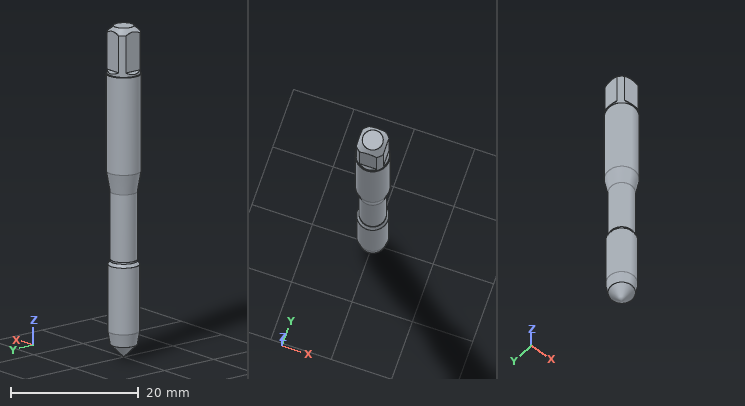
import cadquery as cq

overall_length = 54.0
taper_top_z = 4.3
working_top_z = 15.15
working_bevel_top_z = 15.7
joint_z = 16.0
neck_top_z = 27.0
cone_top_z = 30.35
shoulder_z = 46.15
flat_bottom_z = 46.95

shank_diameter = 5.5
drive_diameter = 5.3
neck_diameter = 4.3
working_diameter = 5.1
point_diameter = 4.3
top_face_diameter = 3.3

across_flats = 4.5

shank_radius = shank_diameter / 2
drive_radius = drive_diameter / 2
neck_radius = neck_diameter / 2
working_radius = working_diameter / 2
point_radius = point_diameter / 2
top_face_radius = top_face_diameter / 2
point_height = point_radius
shoulder_top_z = shoulder_z + shank_radius - drive_radius
top_bevel_z = overall_length - (drive_radius - top_face_radius)

flat_offset = across_flats / 2
runout_bottom_z = flat_bottom_z - (shank_radius - flat_offset)
flat_count = 4


def revolve_profile(points):
    """Turn a closed (radius, Z) outline around the Z axis."""
    return cq.Workplane("XZ").polyline(points).close().revolve(360, (0, 0), (0, 1))


def make_flat_cutter():
    """Wedge-bottomed block that leaves a flat with a sloped run-out on the +X side of the drive."""
    return (
        cq.Workplane("XZ")
        .moveTo(flat_offset, overall_length)
        .lineTo(flat_offset, flat_bottom_z)
        .lineTo(shank_radius, runout_bottom_z)
        .lineTo(shank_radius, overall_length)
        .close()
        .extrude(shank_radius, both=True)
    )


def make_shank():
    """Neck, transition cone, shank and square drive in one body."""
    shank = revolve_profile([
        (0, joint_z),
        (neck_radius, joint_z),
        (neck_radius, neck_top_z),
        (shank_radius, cone_top_z),
        (shank_radius, shoulder_z),
        (drive_radius, shoulder_top_z),
        (drive_radius, top_bevel_z),
        (top_face_radius, overall_length),
        (0, overall_length),
    ])
    flat_cutter = make_flat_cutter()
    for index in range(flat_count):
        angle = index * 360 / flat_count
        shank = shank.cut(flat_cutter.rotate((0, 0, 0), (0, 0, 1), angle))
    return shank


def make_working_head():
    """Pointed working head with a lead taper and a beveled top edge."""
    return revolve_profile([
        (0, 0),
        (point_radius, point_height),
        (working_radius, taper_top_z),
        (working_radius, working_top_z),
        (neck_radius, working_bevel_top_z),
        (neck_radius, joint_z),
        (0, joint_z),
    ])


shank = make_shank()
working_head = make_working_head()

result = cq.Compound.makeCompound([shank.val(), working_head.val()])